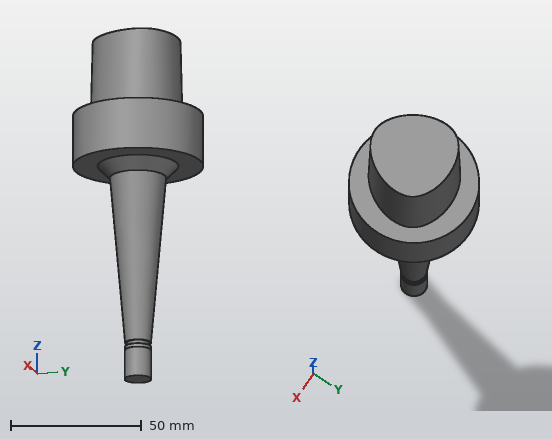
import cadquery as cq
import math

total_length = 135.0
shank_length = 30.0
collar_length = 20.0
collar_diameter = 50.0
collar_top = total_length - shank_length
collar_bottom = collar_top - collar_length

cone_height = 4.7
stem_top_radius = 10.8
cone_top_radius = stem_top_radius + cone_height
stem_top = collar_bottom - cone_height

pin_diameter = 10.3
pin_top = 11.5
band_diameter = 10.0
band_top = 13.0
groove_diameter = 8.6
groove_top = 14.5
stem_end_diameter = 10.0

shank_base_width = 35.2
shank_top_width = 33.8
lobe_offset = 1.0
lobe_count = 3
points_per_lobe = 12


def lobed_point(width, angle):
    """Point on a constant-width curve where its outward normal has the given angle."""
    phase = lobe_count * (angle + math.pi / 2)
    reach = width / 2 + lobe_offset * math.cos(phase)
    slope = -lobe_count * lobe_offset * math.sin(phase)
    x = reach * math.cos(angle) - slope * math.sin(angle)
    y = reach * math.sin(angle) + slope * math.cos(angle)
    return x, y


def lobed_outline(width):
    point_count = lobe_count * points_per_lobe
    return [lobed_point(width, 2 * math.pi * i / point_count) for i in range(point_count)]


def make_shank():
    return (
        cq.Workplane("XY", origin=(0, 0, collar_top))
        .spline(lobed_outline(shank_base_width), periodic=True)
        .close()
        .workplane(offset=shank_length)
        .spline(lobed_outline(shank_top_width), periodic=True)
        .close()
        .loft(ruled=True)
    )


def make_round_body():
    profile = [
        (0, 0),
        (pin_diameter / 2, 0),
        (pin_diameter / 2, pin_top),
        (band_diameter / 2, pin_top),
        (band_diameter / 2, band_top),
        (groove_diameter / 2, band_top),
        (groove_diameter / 2, groove_top),
        (stem_end_diameter / 2, groove_top),
        (stem_top_radius, stem_top),
        (cone_top_radius, collar_bottom),
        (collar_diameter / 2, collar_bottom),
        (collar_diameter / 2, collar_top),
        (0, collar_top),
    ]
    return cq.Workplane("XZ").polyline(profile).close().revolve(360, (0, 0, 0), (0, 1, 0))


result = make_round_body().union(make_shank())